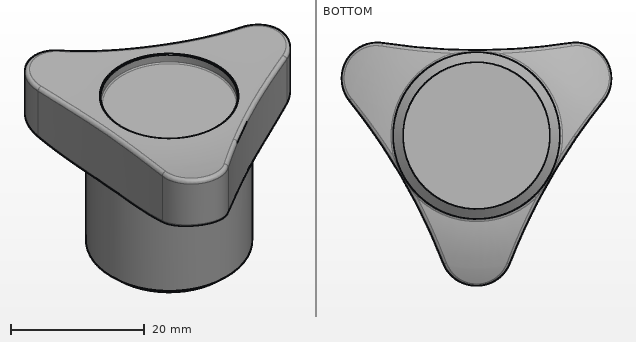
import cadquery as cq
import math

HALF_WIDTH = 20.2
LOBE_OFFSET = 17.1
WAIST_RADIUS = 12.8
LOBE_ANGLES = (90, 210, 330)
LOBE_RADIUS = HALF_WIDTH - LOBE_OFFSET * math.cos(math.radians(30))

HUB_RADIUS = 25.0 / 2
HUB_CHAMFER = 1.5
NECK_FILLET = 0.4

FACE_CURVE_START = 10.1
UNDERSIDE_Z = 18.0
UNDERSIDE_CURVE = 25.9
TOP_Z = 28.7
TOP_CURVE = 65.5
BLANK_RADIUS = 24.25
EDGE_FILLET = 0.6

RECESS_RADIUS = 20.5 / 2
RECESS_DEPTH = 1.6
RECESS_RIM_CHAMFER = 0.15
RECESS_FLOOR_FILLET = 0.2


def polar(radius, degrees):
    angle = math.radians(degrees)
    return (radius * math.cos(angle), radius * math.sin(angle))


def concave_side_radius():
    """Radius of the arc that touches two lobes and passes through the waist."""
    half_span = LOBE_OFFSET * math.sin(math.radians(60))
    rise = WAIST_RADIUS - LOBE_OFFSET * math.cos(math.radians(60))
    return (half_span**2 + rise**2 - LOBE_RADIUS**2) / (2 * (LOBE_RADIUS - rise))


def head_outline():
    """Three round lobes joined by tangent concave arcs."""
    side_radius = concave_side_radius()
    side_centre_offset = WAIST_RADIUS + side_radius

    def tangent_point(lobe_angle, side_angle):
        lobe = cq.Vector(*polar(LOBE_OFFSET, lobe_angle))
        side = cq.Vector(*polar(side_centre_offset, side_angle))
        point = lobe + (side - lobe).normalized() * LOBE_RADIUS
        return (point.x, point.y)

    first = LOBE_ANGLES[0]
    outline = cq.Workplane("XY").moveTo(*tangent_point(first, first - 60))
    for angle in LOBE_ANGLES:
        lobe_tip = polar(LOBE_OFFSET + LOBE_RADIUS, angle)
        waist = polar(WAIST_RADIUS, angle + 60)
        outline = outline.threePointArc(lobe_tip, tangent_point(angle, angle + 60))
        outline = outline.threePointArc(waist, tangent_point(angle + 120, angle + 60))
    return outline.close()


def curved_face_point(radius, flat_z, curve_radius):
    """Profile point on a face that curves up outside FACE_CURVE_START."""
    run = radius - FACE_CURVE_START
    return (radius, flat_z + curve_radius - math.sqrt(curve_radius**2 - run**2))


def head_blank():
    """Turned disc whose underside and top both curve upward."""
    middle = (FACE_CURVE_START + BLANK_RADIUS) / 2
    return (
        cq.Workplane("XZ")
        .moveTo(0, UNDERSIDE_Z)
        .lineTo(FACE_CURVE_START, UNDERSIDE_Z)
        .threePointArc(
            curved_face_point(middle, UNDERSIDE_Z, UNDERSIDE_CURVE),
            curved_face_point(BLANK_RADIUS, UNDERSIDE_Z, UNDERSIDE_CURVE),
        )
        .lineTo(*curved_face_point(BLANK_RADIUS, TOP_Z, TOP_CURVE))
        .threePointArc(
            curved_face_point(middle, TOP_Z, TOP_CURVE),
            curved_face_point(FACE_CURVE_START, TOP_Z, TOP_CURVE),
        )
        .lineTo(0, TOP_Z)
        .close()
        .revolve(360, (0, 0, 0), (0, 1, 0))
    )


def lies_outside_flats(edge):
    """False for the circles where the flat middle meets the curved face, and their seams."""
    point = edge.positionAt(0.5)
    return math.hypot(point.x, point.y) > (FACE_CURVE_START + WAIST_RADIUS) / 2


def make_head():
    prism = head_outline().extrude(2 * TOP_Z)
    head = prism.intersect(head_blank())
    rim = head.edges("not |Z").filter(lies_outside_flats)
    return rim.fillet(EDGE_FILLET)


def make_hub():
    """Cylinder chamfered at the bottom and buried in the head at the top."""
    return (
        cq.Workplane("XY")
        .circle(HUB_RADIUS)
        .extrude((UNDERSIDE_Z + TOP_Z) / 2)
        .faces("<Z")
        .chamfer(HUB_CHAMFER)
    )


def lies_on_neck(edge):
    """True for an edge on the hub cylinder, up where it enters the head."""
    tolerance = 0.005
    points = [edge.positionAt(fraction) for fraction in (0, 0.3, 0.6)]
    return all(
        abs(math.hypot(point.x, point.y) - HUB_RADIUS) < tolerance
        and point.z > UNDERSIDE_Z - NECK_FILLET
        for point in points
    )


def join_with_neck_fillet(head, hub):
    """Join head and hub and round the corner between them."""
    body = head.union(hub)
    return body.edges().filter(lies_on_neck).fillet(NECK_FILLET)


def make_recess():
    """Cutter for the recess, with a rounded floor edge and a chamfered rim."""
    floor_z = TOP_Z - RECESS_DEPTH
    pocket = (
        cq.Workplane("XY")
        .workplane(offset=floor_z)
        .circle(RECESS_RADIUS)
        .extrude(2 * RECESS_DEPTH)
        .faces("<Z")
        .edges()
        .fillet(RECESS_FLOOR_FILLET)
    )
    rim = cq.Workplane("XY").add(
        cq.Solid.makeCone(
            RECESS_RADIUS,
            RECESS_RADIUS + 2 * RECESS_RIM_CHAMFER,
            2 * RECESS_RIM_CHAMFER,
            pnt=cq.Vector(0, 0, TOP_Z - RECESS_RIM_CHAMFER),
        )
    )
    return pocket.union(rim)


result = join_with_neck_fillet(make_head(), make_hub()).cut(make_recess())